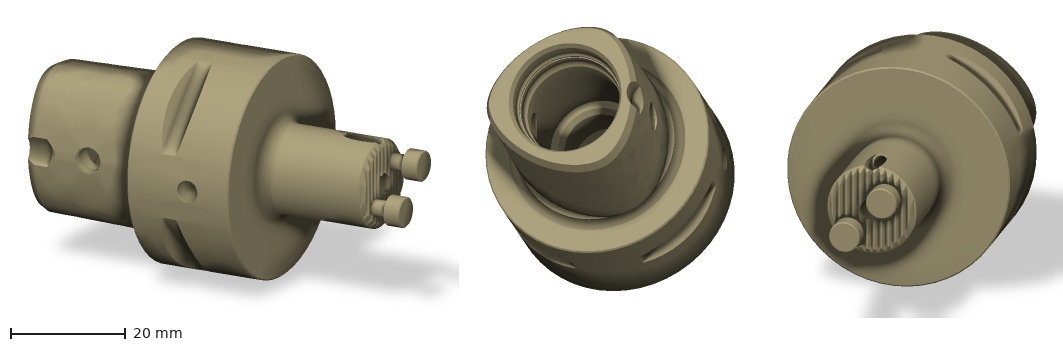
import cadquery as cq
import math


TAPER_LENGTH = 24.0
POLYGON_RADIUS = 14.0
POLYGON_LOBE = 0.93
TAPER_SLOPE = 1 / 40
TAPER_BIG_END_X = -1.6
NOSE_LENGTH = 1.6
NOSE_DROP = 0.8
NECK_INSET = 0.1
NECK_X = -1.2
BLANK_RADIUS = 16.0
NECK_CHAMFER_SLOPE = 1.3
POLYGON_POINTS = 48

FLANGE_RADIUS = 20.0
FLANGE_LENGTH = 20.0
FLANGE_CHAMFER = 0.25
COLLAR_RADIUS = 14.05
COLLAR_X = -0.6
FACE_GROOVE_START_X = -0.5
FACE_GROOVE_OUTER_RADIUS = 15.83

SHANK_RADIUS = 8.0
SHANK_FILLET = 2.0
SHANK_END_X = 40.3
SHANK_CHAMFER = 1.0
TOOTH_PITCH = 1.25
TOOTH_DEPTH = 0.9
TOOTH_TIP_WIDTH = 0.3

MOUTH_RADIUS = 10.1
MOUTH_CHAMFER_DEPTH = 0.9
ENTRY_RADIUS = 9.55
ENTRY_DEPTH = 3.5
LIP_RADIUS = 9.15
LIP_CONE_DEPTH = 3.9
LIP_DEPTH = 4.3
BORE_RADIUS = 9.0
GROOVE_RADIUS = 9.2
GROOVE_START = 5.3
GROOVE_END = 6.6
INNER_RADIUS = 8.5
INNER_START = 7.5
INNER_DEPTH = 25.0
THREAD_MOUTH_RADIUS = 7.15
THREAD_RADIUS = 6.25
THREAD_LENGTH = 8.0
CONE_END_RADIUS = 2.4
CONE_LENGTH = 3.0
COOLANT_RADIUS = 2.0

SLOT_X = 8.0
SLOT_FLOOR_DISTANCE = 17.65
SLOT_FLOOR_WIDTH = 2.6
SLOT_CORNER_RADIUS = 0.5
SLOT_HALF_ANGLE = 30.0
SLOT_ANGLES = (45, 135, 225, 315)

DRILL_TIP_HALF_ANGLE = 59.0
FLANGE_HOLE_RADIUS = 2.0
FLANGE_HOLE_X = 12.0
FLANGE_HOLE_DEPTH = 0.7
TAPER_HOLE_RADIUS = 2.3
TAPER_HOLE_X = -11.5
TAPER_HOLE_FLOOR_Y = 10.5
TAPER_HOLE_MOUTH_RADIUS = 2.5
TAPER_HOLE_MOUTH_Y = -12.5
NOSE_HOLE_RADIUS = 3.0
NOSE_HOLE_Y = -14.0
NOSE_HOLE_DEPTH = 4.2
NOSE_HOLE_TIP = 45.0

OUTLET_RADIUS = 1.65
OUTLET_FEED_RADIUS = 1.25
OUTLET_SLOPE = 20.0
OUTLET_FLOOR_X = 32.8
OUTLET_FLOOR_Z = 6.5

SCREW_OFFSET = 3.3
SCREW_RADIUS = 1.5
SCREW_HEAD_RADIUS = 2.75
SCREW_HEAD_LENGTH = 3.0
SCREW_END_X = 46.3
SCREW_SHANK_LENGTH = 10.0
SCREW_HEAD_CHAMFER = 0.2
SCREW_SIDES = (1, -1)

NOSE_X = -TAPER_LENGTH


def polygon_wire(x, mean_radius):
    """Three-lobed outline in the plane X = x, one lobe towards +Y."""
    points = []
    for i in range(POLYGON_POINTS):
        angle = 2 * math.pi * i / POLYGON_POINTS
        reach = mean_radius + POLYGON_LOBE * math.cos(3 * angle)
        turn = -3 * POLYGON_LOBE * math.sin(3 * angle)
        y = reach * math.cos(angle) - turn * math.sin(angle)
        z = reach * math.sin(angle) + turn * math.cos(angle)
        points.append(cq.Vector(x, y, z))
    return cq.Wire.assembleEdges([cq.Edge.makeSpline(points, periodic=True)])


def polygon_section(x_start, radius_start, x_end, radius_end):
    wires = [polygon_wire(x_start, radius_start), polygon_wire(x_end, radius_end)]
    return cq.Workplane(cq.Solid.makeLoft(wires, True))


def revolved(profile):
    """Turn a closed profile, drawn as (x, radius), about the tool axis."""
    return profile.close().revolve(360, (0, 0, 0), (1, 0, 0))


def drill(start, direction, radius, depth, tip_half_angle=DRILL_TIP_HALF_ANGLE):
    """Hole of full diameter to the given depth, with a conical bottom."""
    tip = radius / math.tan(math.radians(tip_half_angle))
    axis = cq.Vector(*direction)
    shaft = cq.Solid.makeCylinder(radius, depth, cq.Vector(*start), axis)
    point = cq.Solid.makeCone(radius, 0, tip, cq.Vector(*start) + axis * depth, axis)
    return cq.Workplane(shaft).union(cq.Workplane(point))


def around_taper():
    """All that is cut away round the polygon, from the nose to the collar."""
    shoulder_x = NOSE_X + NOSE_LENGTH
    shoulder_radius = POLYGON_RADIUS - TAPER_SLOPE * (TAPER_BIG_END_X - shoulder_x)
    neck_radius = POLYGON_RADIUS - NECK_INSET
    nose = polygon_section(NOSE_X, shoulder_radius - NOSE_DROP, shoulder_x, shoulder_radius)
    cone = polygon_section(shoulder_x, shoulder_radius, TAPER_BIG_END_X, POLYGON_RADIUS)
    neck = polygon_section(TAPER_BIG_END_X, neck_radius, COLLAR_X, neck_radius)
    blank = cq.Workplane("YZ", origin=(NOSE_X, 0, 0)).circle(FLANGE_RADIUS).extrude(COLLAR_X - NOSE_X)
    return blank.cut(nose.union(cone).union(neck))


def turned_body():
    groove_width = FACE_GROOVE_OUTER_RADIUS - COLLAR_RADIUS
    groove_radius = (FACE_GROOVE_START_X ** 2 + groove_width ** 2) / (2 * groove_width)
    groove_bottom = (FACE_GROOVE_START_X + groove_radius, COLLAR_RADIUS + groove_radius)
    neck_chamfer_x = NECK_X - (BLANK_RADIUS - COLLAR_RADIUS) / NECK_CHAMFER_SLOPE
    profile = (
        cq.Workplane("XY")
        .moveTo(NOSE_X, 0)
        .lineTo(NOSE_X, BLANK_RADIUS)
        .lineTo(neck_chamfer_x, BLANK_RADIUS)
        .lineTo(NECK_X, COLLAR_RADIUS)
        .lineTo(FACE_GROOVE_START_X, COLLAR_RADIUS)
        .threePointArc(groove_bottom, (0, FACE_GROOVE_OUTER_RADIUS))
        .lineTo(0, FLANGE_RADIUS - FLANGE_CHAMFER)
        .lineTo(FLANGE_CHAMFER, FLANGE_RADIUS)
        .lineTo(FLANGE_LENGTH - FLANGE_CHAMFER, FLANGE_RADIUS)
        .lineTo(FLANGE_LENGTH, FLANGE_RADIUS - FLANGE_CHAMFER)
        .lineTo(FLANGE_LENGTH, SHANK_RADIUS + SHANK_FILLET)
        .radiusArc((FLANGE_LENGTH + SHANK_FILLET, SHANK_RADIUS), -SHANK_FILLET)
        .lineTo(SHANK_END_X - SHANK_CHAMFER, SHANK_RADIUS)
        .lineTo(SHANK_END_X, SHANK_RADIUS - SHANK_CHAMFER)
        .lineTo(SHANK_END_X, 0)
    )
    return revolved(profile)


def bore():
    thread_start = INNER_DEPTH + THREAD_MOUTH_RADIUS - THREAD_RADIUS
    thread_end = INNER_DEPTH + THREAD_LENGTH
    cone_end = thread_end + CONE_LENGTH
    depths_and_radii = [
        (0, MOUTH_RADIUS),
        (MOUTH_CHAMFER_DEPTH, ENTRY_RADIUS),
        (ENTRY_DEPTH, ENTRY_RADIUS),
        (LIP_CONE_DEPTH, LIP_RADIUS),
        (LIP_DEPTH, LIP_RADIUS),
        (LIP_DEPTH, BORE_RADIUS),
        (GROOVE_START, BORE_RADIUS),
        (GROOVE_START, GROOVE_RADIUS),
        (GROOVE_END, GROOVE_RADIUS),
        (INNER_START, INNER_RADIUS),
        (INNER_DEPTH, INNER_RADIUS),
        (INNER_DEPTH, THREAD_MOUTH_RADIUS),
        (thread_start, THREAD_RADIUS),
        (thread_end, THREAD_RADIUS),
        (cone_end, CONE_END_RADIUS),
        (cone_end, COOLANT_RADIUS),
        (SHANK_END_X - NOSE_X, COOLANT_RADIUS),
    ]
    profile = cq.Workplane("XY").moveTo(NOSE_X, 0)
    for depth, radius in depths_and_radii:
        profile = profile.lineTo(NOSE_X + depth, radius)
    return revolved(profile.lineTo(SHANK_END_X, 0))


def gripper_slots():
    depth = FLANGE_RADIUS - SLOT_FLOOR_DISTANCE
    half_floor = SLOT_FLOOR_WIDTH / 2
    half_mouth = half_floor + depth * math.tan(math.radians(SLOT_HALF_ANGLE))
    slot = (
        cq.Workplane("XY", origin=(SLOT_X, 0, -FLANGE_RADIUS))
        .polyline([(-half_floor, SLOT_FLOOR_DISTANCE), (-half_mouth, FLANGE_RADIUS),
                   (half_mouth, FLANGE_RADIUS), (half_floor, SLOT_FLOOR_DISTANCE)])
        .close()
        .extrude(2 * FLANGE_RADIUS)
        .faces("<Y")
        .edges("|Z")
        .fillet(SLOT_CORNER_RADIUS)
    )
    return [slot.rotate((0, 0, 0), (1, 0, 0), angle) for angle in SLOT_ANGLES]


def serration():
    root_x = SHANK_END_X - TOOTH_DEPTH
    half_mouth = (TOOTH_PITCH - TOOTH_TIP_WIDTH) / 2
    count = math.ceil(SHANK_RADIUS / TOOTH_PITCH)
    grooves = cq.Workplane("XY", origin=(0, 0, -SHANK_RADIUS))
    for i in range(-count, count + 1):
        y = i * TOOTH_PITCH
        grooves = grooves.polyline(
            [(root_x, y), (SHANK_END_X, y + half_mouth), (SHANK_END_X, y - half_mouth)]).close()
    return grooves.extrude(2 * SHANK_RADIUS)


def coolant_outlet():
    """Sloping nozzle seat that breaks out at the shank end, fed from the coolant bore."""
    slope = math.radians(OUTLET_SLOPE)
    outwards = (math.cos(slope), 0, math.sin(slope))
    seat_floor = cq.Plane(origin=(OUTLET_FLOOR_X, 0, OUTLET_FLOOR_Z), xDir=(0, 1, 0), normal=outwards)
    feed_length = OUTLET_FLOOR_Z / math.sin(slope)
    seat = cq.Workplane(seat_floor).circle(OUTLET_RADIUS).extrude(SHANK_END_X - FLANGE_LENGTH)
    feed = cq.Workplane(seat_floor).circle(OUTLET_FEED_RADIUS).extrude(-feed_length)
    return seat.union(feed)


def screw(side):
    y = side * SCREW_OFFSET
    head_x = SCREW_END_X - SCREW_HEAD_LENGTH
    head = (
        cq.Workplane("YZ", origin=(head_x, y, y))
        .circle(SCREW_HEAD_RADIUS)
        .extrude(SCREW_HEAD_LENGTH)
        .faces(">X")
        .chamfer(SCREW_HEAD_CHAMFER)
    )
    shank = cq.Workplane("YZ", origin=(head_x, y, y)).circle(SCREW_RADIUS).extrude(-SCREW_SHANK_LENGTH)
    return head.union(shank)


def holder(screws):
    body = turned_body().cut(around_taper()).cut(bore())
    for slot in gripper_slots():
        body = body.cut(slot)
    body = body.cut(drill((FLANGE_HOLE_X, -FLANGE_RADIUS, 0), (0, 1, 0), FLANGE_HOLE_RADIUS, FLANGE_HOLE_DEPTH))
    body = body.cut(drill((TAPER_HOLE_X, -FLANGE_RADIUS, 0), (0, 1, 0), TAPER_HOLE_RADIUS,
                          FLANGE_RADIUS + TAPER_HOLE_FLOOR_Y))
    body = body.cut(cq.Workplane("XZ", origin=(TAPER_HOLE_X, TAPER_HOLE_MOUTH_Y, 0))
                    .circle(TAPER_HOLE_MOUTH_RADIUS).extrude(FLANGE_RADIUS))
    body = body.cut(drill((NOSE_X, NOSE_HOLE_Y, 0), (1, 0, 0), NOSE_HOLE_RADIUS, NOSE_HOLE_DEPTH,
                          NOSE_HOLE_TIP))
    body = body.cut(serration()).cut(coolant_outlet())
    for s in screws:
        body = body.cut(s)
    return body


screws = [screw(side) for side in SCREW_SIDES]
body = holder(screws)
result = cq.Compound.makeCompound([body.val(), *[s.val() for s in screws]])